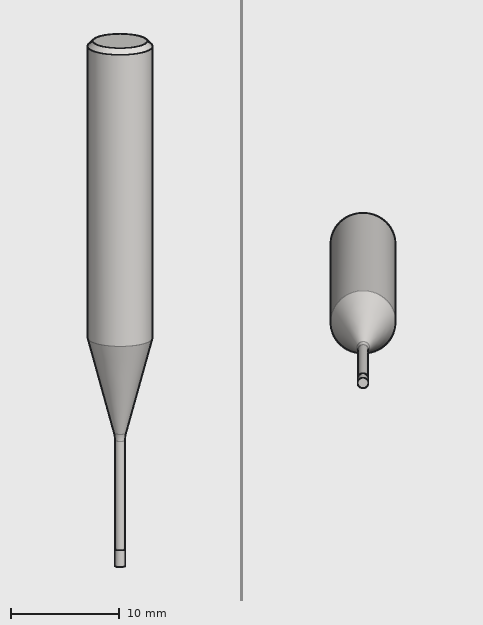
import cadquery as cq

total_length = 50.0
shank_diameter = 6.0
end_chamfer = 0.5

head_length = 1.6
neck_start = 1.7
neck_end = 12.0
cone_bottom = 12.7
cone_top = 21.75

head_diameter = 1.0
neck_diameter = 0.95
cone_small_diameter = 1.15


def make_holder():
    """Shank, long cone, blend arc and relieved neck, turned about the Z axis."""
    shank_radius = shank_diameter / 2
    neck_radius = neck_diameter / 2
    profile = (
        cq.Workplane("XZ")
        .moveTo(0, head_length)
        .lineTo(head_diameter / 2, head_length)
        .lineTo(neck_radius, neck_start)
        .lineTo(neck_radius, neck_end)
        .tangentArcPoint((cone_small_diameter / 2, cone_bottom), relative=False)
        .lineTo(shank_radius, cone_top)
        .lineTo(shank_radius, total_length - end_chamfer)
        .lineTo(shank_radius - end_chamfer, total_length)
        .lineTo(0, total_length)
        .close()
    )
    return profile.revolve(360, (0, 0, 0), (0, 1, 0))


def make_cutting_head():
    """Plain cylindrical cutting head that meets the end of the neck."""
    return cq.Workplane("XY").circle(head_diameter / 2).extrude(head_length)


holder = make_holder()
cutting_head = make_cutting_head()

result = cq.Compound.makeCompound([holder.val(), cutting_head.val()])